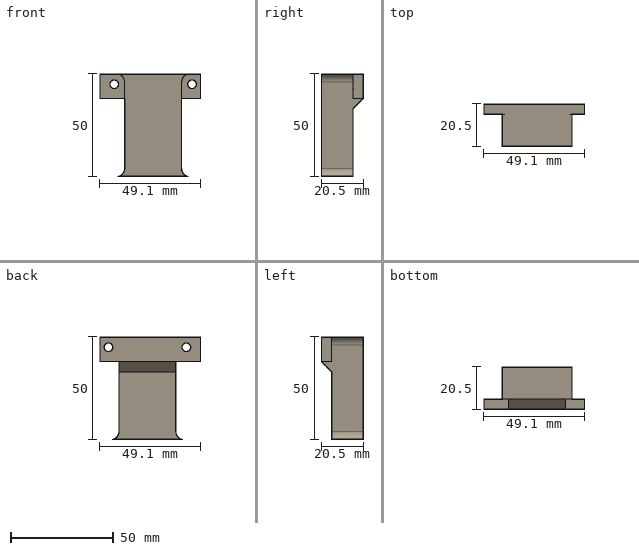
import cadquery as cq
import math

plate_width = 49.1
plate_height = 12.0
plate_thickness = 5.0

total_height = 50.0
body_depth = 15.5
body_width = 27.9
body_left = 12.0
body_right = body_left + body_width
body_center = (body_left + body_right) / 2

flare_radius = 4.0
flare_reach = 3.1

hole_diameter = 4.1
hole_spacing = 38.0
hole_drop = 5.0

plate_bottom = total_height - plate_height


def flared_body():
    """Body outline in XZ: straight sides that curve outwards at both ends."""
    half = body_width / 2
    sweep = math.acos(1 - flare_reach / flare_radius)
    flare_height = flare_radius * math.sin(sweep)
    mid_out = flare_radius * (1 - math.cos(sweep / 2))
    mid_drop = flare_radius * math.sin(sweep / 2)
    tip = half + flare_reach
    low = flare_height
    high = total_height - flare_height
    outline = (
        cq.Workplane("XZ")
        .moveTo(-tip, 0)
        .lineTo(tip, 0)
        .threePointArc((half + mid_out, low - mid_drop), (half, low))
        .lineTo(half, high)
        .threePointArc((half + mid_out, high + mid_drop), (tip, total_height))
        .lineTo(-tip, total_height)
        .threePointArc((-half - mid_out, high + mid_drop), (-half, high))
        .lineTo(-half, low)
        .threePointArc((-half - mid_out, low - mid_drop), (-tip, 0))
        .close()
    )
    return outline.extrude(body_depth).translate((body_center, 0, 0))


def mounting_plate():
    """Plate behind the top of the body, with two through holes."""
    plate = cq.Workplane("XY").box(plate_width, plate_thickness, plate_height, centered=False)
    plate = plate.translate((0, 0, plate_bottom))
    holes = (
        cq.Workplane("XZ")
        .pushPoints([(body_center + side * hole_spacing / 2, total_height - hole_drop) for side in (-1, 1)])
        .circle(hole_diameter / 2)
        .extrude(-plate_thickness)
    )
    return plate.cut(holes)


def support_wedge():
    """45 degree wedge that carries the plate on the back of the body."""
    return (
        cq.Workplane("YZ")
        .polyline([
            (0, plate_bottom),
            (plate_thickness, plate_bottom),
            (0, plate_bottom - plate_thickness),
        ])
        .close()
        .extrude(body_width)
        .translate((body_left, 0, 0))
    )


result = flared_body().union(mounting_plate()).union(support_wedge())